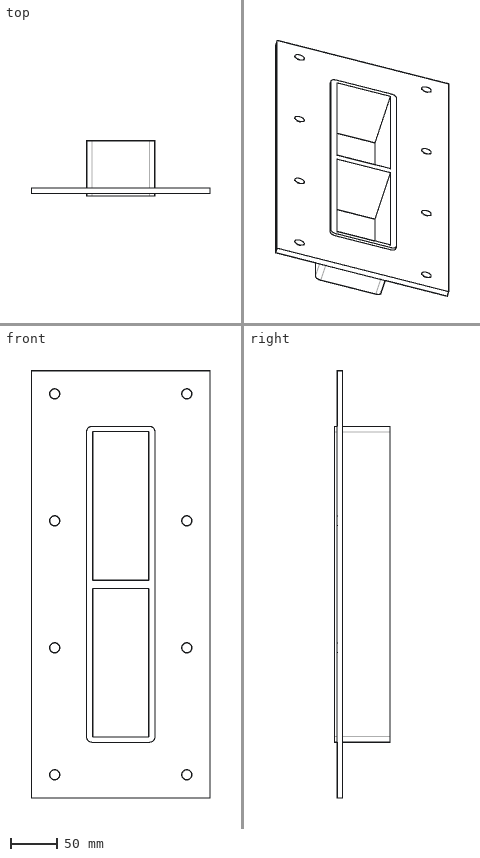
import cadquery as cq

plate_width = 192.5
plate_height = 461.0
plate_thickness = 6.0

duct_width = 73.8
duct_height = 340.5
duct_depth = 60.0
duct_corner_radius = 6.0
front_projection = 2.8

opening_width = 60.0
opening_height = 160.0
web_thickness = 9.0

hole_diameter = 10.5
hole_column_spacing = 142.5
hole_pitch = 137.0
holes_per_column = 4


def block_along_y(width, height, front, depth):
    """Block centred on X and Z, reaching from Y = front to Y = front + depth."""
    return cq.Workplane("XY").box(width, depth, height).translate((0, front + depth / 2, 0))


def cutter_plane():
    """XZ plane at the front end of the duct."""
    return cq.Workplane("XZ", origin=(0, -front_projection, 0))


plate = block_along_y(plate_width, plate_height, 0, plate_thickness)

duct = block_along_y(duct_width, duct_height, -front_projection, duct_depth)
duct = duct.edges("|Y").fillet(duct_corner_radius)

openings = (
    cutter_plane()
    .rarray(4.5, opening_height + web_thickness, 1, 2)
    .rect(opening_width, opening_height)
    .extrude(-duct_depth)
)

bolt_holes = (
    cutter_plane()
    .rarray(hole_column_spacing, hole_pitch, 2, holes_per_column)
    .circle(hole_diameter / 2)
    .extrude(-duct_depth)
)

result = plate.union(duct).cut(openings).cut(bolt_holes)